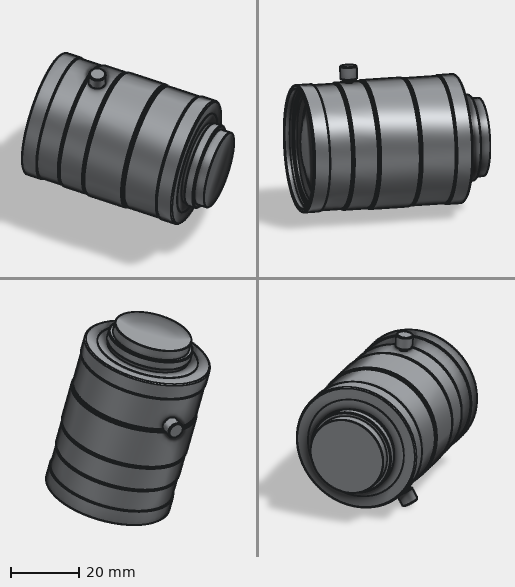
import cadquery as cq
import math

TOTAL_LENGTH = 55.0
RING_RADIUS = 18.75
GRIP_RADIUS = 19.0
SLEEVE_RADIUS = 18.45
EDGE_CHAMFER = 0.3
FRONT_CHAMFER = 0.35

FILTER_RING_END = 5.0
SLEEVE_END = 11.7
FOCUS_RING_START = 12.0
FOCUS_RING_END = 19.5
GRIP_START = 19.9
GRIP_END = 32.0
IRIS_RING_START = 32.5
REAR_BAND_START = 42.9
REAR_BAND_END = 47.9
FOCUS_FRONT_GROOVE_RADIUS = 17.0
FOCUS_REAR_GROOVE_RADIUS = 17.8
IRIS_GROOVE_RADIUS = 18.15
REAR_BAND_CHAMFER = 0.4

REAR_BOSS_END = 48.1
REAR_BOSS_RADIUS = 15.2
NECK_RADIUS = 12.25
FLANGE_START = 49.1
FLANGE_END = 52.0
FLANGE_RADIUS = 12.7
FLANGE_CHAMFER = 0.3
MOUNT_RADIUS = 11.55
MOUNT_CHAMFER = 0.15

MOUTH_RADIUS = 17.6
MOUTH_DEPTH = 1.6
MOUTH_CHAMFER = 0.2
COUNTERBORE_RADIUS = 17.5
COUNTERBORE_DEPTH = 2.35
RETAINER_RADIUS = 16.85
RETAINER_DEPTH = 2.5
RETAINER_BEVEL = 0.2
CONE_RADIUS = 15.85
CONE_START = 3.45
LIP_CHAMFER = 0.15
LENS_RADIUS = 14.15
LENS_CONE_END = 4.45
LENS_EDGE_X = 4.8
LENS_BULGE = 3.3

SCREW_HEAD_RADIUS = 2.5
SCREW_HEAD_CHAMFER = 0.3
SCREW_HEAD_BASE = 19.75
SCREW_HEAD_TOP = 23.75
SCREW_NECK_RADIUS = 0.8
SCREW_SHANK_RADIUS = 1.1
SCREW_SHANK_TOP = 19.05
SCREW_SHANK_CONE = 0.2
SCREW_ROOT = 17.0
FOCUS_SCREW_X = 15.5
FOCUS_SCREW_ANGLE = 5.0
IRIS_SCREW_X = 35.0
IRIS_SCREW_ANGLE = 150.0


def band(start, end, radius, front_chamfer=EDGE_CHAMFER, rear_chamfer=EDGE_CHAMFER):
    """Outline points (x, r) of a ring with chamfered rims."""
    return [
        (start, radius - front_chamfer),
        (start + front_chamfer, radius),
        (end - rear_chamfer, radius),
        (end, radius - rear_chamfer),
    ]


def square_band(start, end, radius):
    """Outline points (x, r) of a square-edged cylinder or groove floor."""
    return [(start, radius), (end, radius)]


def make_barrel():
    outside = (
        band(0, FILTER_RING_END, RING_RADIUS, FRONT_CHAMFER)
        + band(FILTER_RING_END, SLEEVE_END, SLEEVE_RADIUS, 0)[2:]
        + square_band(SLEEVE_END, FOCUS_RING_START, FOCUS_FRONT_GROOVE_RADIUS)
        + band(FOCUS_RING_START, FOCUS_RING_END, RING_RADIUS)
        + square_band(FOCUS_RING_END, GRIP_START, FOCUS_REAR_GROOVE_RADIUS)
        + band(GRIP_START, GRIP_END, GRIP_RADIUS)
        + square_band(GRIP_END, IRIS_RING_START, IRIS_GROOVE_RADIUS)
        + band(IRIS_RING_START, REAR_BAND_START, RING_RADIUS)
        + band(REAR_BAND_START, REAR_BAND_END, GRIP_RADIUS, rear_chamfer=REAR_BAND_CHAMFER)
        + square_band(REAR_BAND_END, REAR_BOSS_END, REAR_BOSS_RADIUS)
        + square_band(REAR_BOSS_END, FLANGE_START, NECK_RADIUS)
        + band(FLANGE_START, FLANGE_END, FLANGE_RADIUS, FLANGE_CHAMFER, FLANGE_CHAMFER)
        + band(FLANGE_END, TOTAL_LENGTH, MOUNT_RADIUS, 0, MOUNT_CHAMFER)[1:]
    )
    opening = [
        (LENS_EDGE_X, LENS_RADIUS),
        (LENS_CONE_END, LENS_RADIUS),
        (CONE_START, CONE_RADIUS),
        (RETAINER_DEPTH + LIP_CHAMFER, CONE_RADIUS),
        (RETAINER_DEPTH, CONE_RADIUS + LIP_CHAMFER),
        (RETAINER_DEPTH, RETAINER_RADIUS),
        (COUNTERBORE_DEPTH, RETAINER_RADIUS + RETAINER_BEVEL),
        (COUNTERBORE_DEPTH, COUNTERBORE_RADIUS),
        (MOUTH_DEPTH, COUNTERBORE_RADIUS),
        (MOUTH_DEPTH, MOUTH_RADIUS),
        (MOUTH_CHAMFER, MOUTH_RADIUS),
        (0, MOUTH_RADIUS + MOUTH_CHAMFER),
    ]
    lens_front_x = LENS_EDGE_X - LENS_BULGE
    lens_sphere_radius = (LENS_RADIUS**2 + LENS_BULGE**2) / (2 * LENS_BULGE)
    half_angle = math.asin(LENS_RADIUS / lens_sphere_radius) / 2
    lens_middle = (
        lens_front_x + lens_sphere_radius * (1 - math.cos(half_angle)),
        lens_sphere_radius * math.sin(half_angle),
    )
    profile = (
        cq.Workplane("XY")
        .moveTo(TOTAL_LENGTH, 0)
        .lineTo(lens_front_x, 0)
        .threePointArc(lens_middle, opening[0])
    )
    for point in opening[1:] + outside:
        profile = profile.lineTo(*point)
    return profile.close().revolve(360, (0, 0, 0), (1, 0, 0))


def make_screw(x, angle):
    """Thumb screw standing radially on the barrel, turned about X from +Z towards +Y."""
    outline = [
        (0, SCREW_ROOT),
        (SCREW_SHANK_RADIUS, SCREW_ROOT),
        (SCREW_SHANK_RADIUS, SCREW_SHANK_TOP),
        (SCREW_NECK_RADIUS, SCREW_SHANK_TOP + SCREW_SHANK_CONE),
        (SCREW_NECK_RADIUS, SCREW_HEAD_BASE),
        (SCREW_HEAD_RADIUS - SCREW_HEAD_CHAMFER, SCREW_HEAD_BASE),
        (SCREW_HEAD_RADIUS, SCREW_HEAD_BASE + SCREW_HEAD_CHAMFER),
        (SCREW_HEAD_RADIUS, SCREW_HEAD_TOP - SCREW_HEAD_CHAMFER),
        (SCREW_HEAD_RADIUS - SCREW_HEAD_CHAMFER, SCREW_HEAD_TOP),
        (0, SCREW_HEAD_TOP),
    ]
    screw = cq.Workplane("XZ").polyline(outline).close().revolve(360, (0, 0, 0), (0, 1, 0))
    return screw.rotate((0, 0, 0), (1, 0, 0), -angle).translate((x, 0, 0))


focus_screw = make_screw(FOCUS_SCREW_X, FOCUS_SCREW_ANGLE)
iris_screw = make_screw(IRIS_SCREW_X, IRIS_SCREW_ANGLE)
result = make_barrel().union(focus_screw).union(iris_screw)